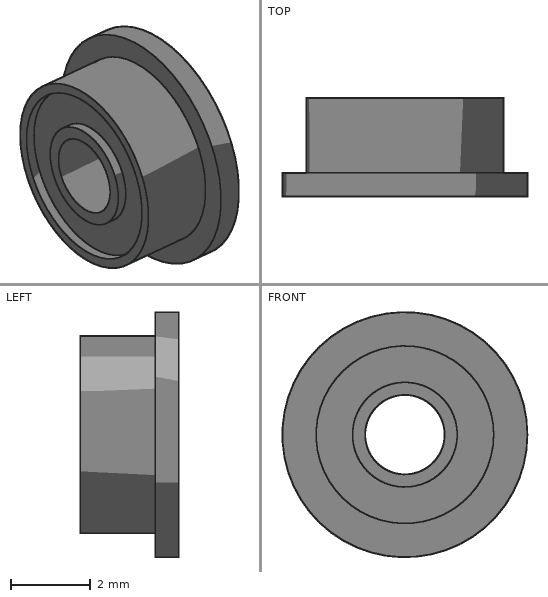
import cadquery as cq

flange_diameter = 6.2
body_diameter = 5.0
bore_diameter = 2.0
width = 2.5
flange_thickness = 0.6

recess_outer_diameter = 4.49
recess_inner_diameter = 2.65
recess_depth = 0.25


def ring(outer_diameter, inner_diameter, start, length):
    """Ring around the Y axis, from Y = start to Y = start + length."""
    return (
        cq.Workplane("XZ", origin=(0, start, 0))
        .circle(outer_diameter / 2)
        .circle(inner_diameter / 2)
        .extrude(-length)
    )


body = ring(body_diameter, bore_diameter, 0, width)
flange = ring(flange_diameter, bore_diameter, 0, flange_thickness)

result = body.union(flange)
for recess_start in (0, width - recess_depth):
    result = result.cut(ring(recess_outer_diameter, recess_inner_diameter, recess_start, recess_depth))